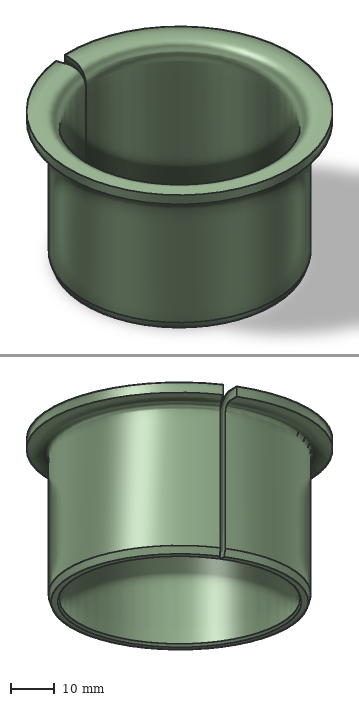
import cadquery as cq
import math

flange_radius = 35.0
height = 40.0
wall = 2.5
body_radius = 30.0
outer_bend_radius = 2.0
chamfer_height = 1.8
chamfer_depth = 0.6
bore_chamfer_height = 0.7
bore_chamfer_depth = 0.35
slit_bore_width = 0.2
slit_rim_width = 3.2

bore_radius = body_radius - wall
inner_bend_radius = outer_bend_radius + wall
bend_center_x = body_radius + outer_bend_radius
bend_center_z = height - inner_bend_radius
flange_underside = height - wall
diagonal = math.sqrt(0.5)


def bend_midpoint(radius):
    """Point halfway round the quarter bend between sleeve and flange."""
    return (bend_center_x - radius * diagonal, bend_center_z + radius * diagonal)


def make_flanged_sleeve():
    """Revolve the wall section: chamfered sleeve, curved bend and flat flange.

    The half turn puts the seam of the revolved faces on the -X side, where the slit removes it.
    """
    return (
        cq.Workplane("XZ")
        .moveTo(bore_radius, bore_chamfer_height)
        .lineTo(bore_radius + bore_chamfer_depth, 0)
        .lineTo(body_radius - chamfer_depth, 0)
        .lineTo(body_radius, chamfer_height)
        .lineTo(body_radius, bend_center_z)
        .threePointArc(bend_midpoint(outer_bend_radius), (bend_center_x, flange_underside))
        .lineTo(flange_radius, flange_underside)
        .lineTo(flange_radius, height)
        .lineTo(bend_center_x, height)
        .threePointArc(bend_midpoint(inner_bend_radius), (bore_radius, bend_center_z))
        .close()
        .revolve(360, (0, 0), (0, 1))
        .rotate((0, 0, 0), (0, 0, 1), 180)
    )


def make_slit():
    """Full-height slit on the -X side, widening from the bore to the flange rim."""
    return (
        cq.Workplane("XY")
        .polyline([
            (-bore_radius, slit_bore_width / 2),
            (-flange_radius, slit_rim_width / 2),
            (-flange_radius, -slit_rim_width / 2),
            (-bore_radius, -slit_bore_width / 2),
            (-bore_radius + wall, -slit_bore_width / 2),
            (-bore_radius + wall, slit_bore_width / 2),
        ])
        .close()
        .extrude(height)
    )


result = make_flanged_sleeve().cut(make_slit())